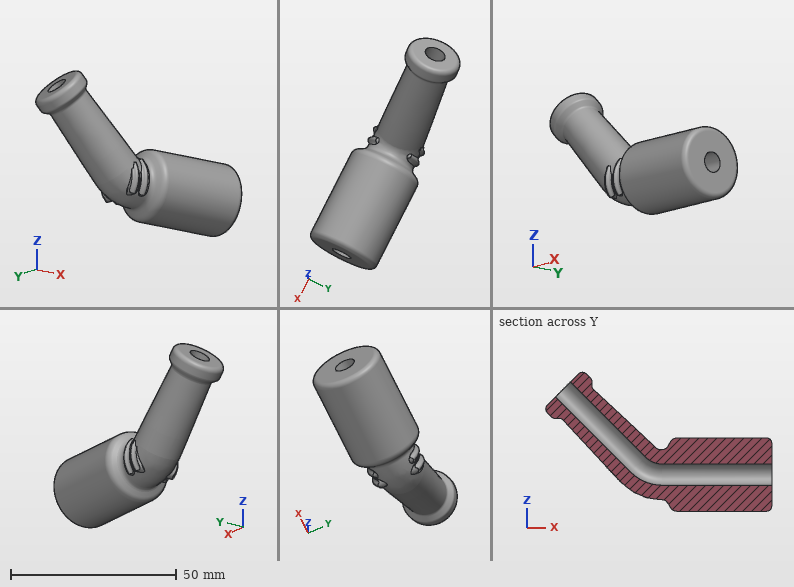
import cadquery as cq
import math


overall_length = 68.6

body_radius = 11.2
body_end_fillet = 1.65
neck_radius = 7.7
shoulder_slope = 60.0
neck_fillet = 1.9
shoulder_fillet = 2.3

bend_angle = 45.0
bend_radius = 10.3
bend_straight = 7.0
bend_end_radius = 7.3
arm_end_radius = 6.6

face_distance = 32.2
head_radius = 8.35
head_face_fillet = 1.5
head_rim_length = 3.7
head_slope = 45.0
head_back_fillet = 1.0
head_root_fillet = 1.15

bore_radius = 3.15

rib_outer_radius = 8.6
rib_inner_radius = 6.5
rib_crest_fillet = 0.75
rib_root_fillet = 1.0
rib_flank_slope = 60.0
rib_bottom = -5.35
ribs = [(-5.55, 4.3), (-1.9, 6.2)]


def arc_offset(radius, angle):
    """Axial and radial travel along an arc that starts parallel to the axis."""
    turn = math.radians(angle)
    return radius * math.sin(turn), radius * (1 - math.cos(turn))


curve_run, curve_rise = arc_offset(bend_radius, bend_angle)
bend_turn = math.radians(bend_angle)
arm_direction = (-math.cos(bend_turn), 0, math.sin(bend_turn))


def arm_point(distance):
    """Point on the arm axis, measured from the end of the curve."""
    return (
        -curve_run + distance * arm_direction[0],
        0,
        curve_rise + distance * arm_direction[2],
    )


fillet_center_x = arm_point(face_distance - head_face_fillet)[0]
head_reach = (head_radius - head_face_fillet) * math.sin(bend_turn) + head_face_fillet - fillet_center_x
body_length = overall_length - head_reach


def make_body():
    neck_mid = arc_offset(neck_fillet, shoulder_slope / 2)
    neck_end = arc_offset(neck_fillet, shoulder_slope)
    round_mid = arc_offset(shoulder_fillet, shoulder_slope / 2)
    round_start = arc_offset(shoulder_fillet, shoulder_slope)
    cone_rise = body_radius - neck_radius - neck_end[1] - round_start[1]
    cone_run = cone_rise / math.tan(math.radians(shoulder_slope))
    shoulder_end = neck_end[0] + cone_run + round_start[0]
    profile = (
        cq.Workplane("XZ")
        .lineTo(0, neck_radius)
        .threePointArc(
            (neck_mid[0], neck_radius + neck_mid[1]),
            (neck_end[0], neck_radius + neck_end[1]),
        )
        .lineTo(shoulder_end - round_start[0], body_radius - round_start[1])
        .threePointArc(
            (shoulder_end - round_mid[0], body_radius - round_mid[1]),
            (shoulder_end, body_radius),
        )
        .lineTo(body_length, body_radius)
        .lineTo(body_length, 0)
        .close()
    )
    body = profile.revolve(360, (0, 0), (1, 0))
    return body.faces(">X").edges().fillet(body_end_fillet)


def centerline(straight_length):
    """Path from the origin around the bend and along the arm."""
    mid_run, mid_rise = arc_offset(bend_radius, bend_angle / 2)
    end = arm_point(straight_length)
    return (
        cq.Workplane("XZ")
        .threePointArc((-mid_run, mid_rise), (-curve_run, curve_rise))
        .lineTo(end[0], end[2])
    )


def make_bend():
    start_plane = cq.Plane((0, 0, 0), xDir=(0, 1, 0), normal=(-1, 0, 0))
    end_plane = cq.Plane(arm_point(bend_straight), xDir=(0, 1, 0), normal=arm_direction)
    sections = (
        cq.Workplane(start_plane)
        .circle(neck_radius)
        .copyWorkplane(cq.Workplane(end_plane))
        .circle(bend_end_radius)
    )
    return sections.sweep(centerline(bend_straight), multisection=True)


def make_arm_and_head():
    rim_end = face_distance - head_rim_length
    back_mid = arc_offset(head_back_fillet, head_slope / 2)
    back_end = arc_offset(head_back_fillet, head_slope)
    root_mid = arc_offset(head_root_fillet, head_slope / 2)
    root_start = arc_offset(head_root_fillet, head_slope)
    cone_drop = head_radius - back_end[1] - arm_end_radius - root_start[1]
    cone_run = cone_drop / math.tan(math.radians(head_slope))
    arm_end = rim_end - back_end[0] - cone_run - root_start[0]
    arm_plane = cq.Plane(arm_point(0), xDir=arm_direction, normal=(0, -1, 0))
    profile = (
        cq.Workplane(arm_plane)
        .moveTo(bend_straight, 0)
        .lineTo(bend_straight, bend_end_radius)
        .lineTo(arm_end, arm_end_radius)
        .threePointArc(
            (arm_end + root_mid[0], arm_end_radius + root_mid[1]),
            (arm_end + root_start[0], arm_end_radius + root_start[1]),
        )
        .lineTo(rim_end - back_end[0], head_radius - back_end[1])
        .threePointArc(
            (rim_end - back_mid[0], head_radius - back_mid[1]),
            (rim_end, head_radius),
        )
        .lineTo(face_distance, head_radius)
        .lineTo(face_distance, 0)
        .close()
    )
    arm = profile.revolve(360, (0, 0), (1, 0))
    outer_face = cq.selectors.DirectionMinMaxSelector(cq.Vector(arm_direction), True)
    return arm.faces(outer_face).edges().fillet(head_face_fillet)


def make_rib(center, top):
    """One band on each side, with rounded ends."""
    crest_mid = arc_offset(rib_crest_fillet, rib_flank_slope / 2)
    crest_end = arc_offset(rib_crest_fillet, rib_flank_slope)
    root_mid = arc_offset(rib_root_fillet, rib_flank_slope / 2)
    root_end = arc_offset(rib_root_fillet, rib_flank_slope)
    half_width = crest_end[0] + root_end[0]
    foot_radius = rib_outer_radius - crest_end[1] - root_end[1]
    half_band = (
        cq.Workplane("XZ")
        .moveTo(center, rib_inner_radius)
        .lineTo(center, rib_outer_radius)
        .threePointArc(
            (center + crest_mid[0], rib_outer_radius - crest_mid[1]),
            (center + crest_end[0], rib_outer_radius - crest_end[1]),
        )
        .threePointArc(
            (center + half_width - root_mid[0], foot_radius + root_mid[1]),
            (center + half_width, foot_radius),
        )
        .lineTo(center + half_width, rib_inner_radius)
        .close()
        .revolve(360, (0, 0), (1, 0))
    )
    band = half_band.union(half_band.mirror("YZ", (center, 0, 0)))
    outline = (
        cq.Workplane("XZ")
        .center(center, (top + rib_bottom) / 2)
        .slot2D(top - rib_bottom, 2 * half_width, 90)
        .extrude(rib_outer_radius, both=True)
    )
    return band.intersect(outline)


def make_bore():
    """Passage along the whole centerline, from the head face to the body end."""
    arm_bore = cq.Workplane("YZ").circle(bore_radius).sweep(centerline(face_distance))
    body_bore = cq.Workplane("YZ").circle(bore_radius).extrude(body_length)
    return arm_bore.union(body_bore)


result = make_body().union(make_bend()).union(make_arm_and_head())
for rib_center, rib_top in ribs:
    result = result.union(make_rib(rib_center, rib_top))
result = result.cut(make_bore())